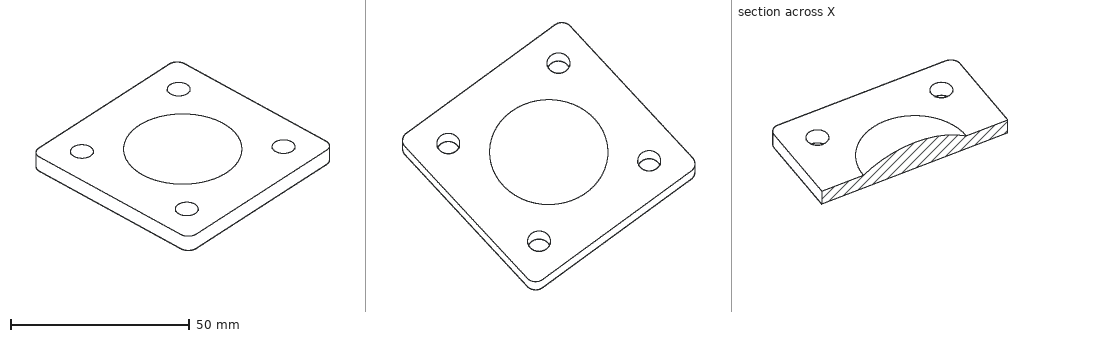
import cadquery as cq

side = 60.0
total_height = 10.0
plate_thickness = total_height / 2
corner_radius = 3.0
hole_diameter = 6.4
hole_spacing = side * 2 / 3
dome_radius = side / 2


def make_plate():
    """Square plate with its bottom at Z = 0 and rounded vertical corners."""
    plate = cq.Workplane("XY").box(side, side, plate_thickness, centered=(True, True, False))
    return plate.edges("|Z").fillet(corner_radius)


def make_dome():
    """Shallow spherical cap standing on the top face of the plate."""
    sphere_center_z = total_height - dome_radius
    sphere = cq.Workplane("XY").sphere(dome_radius).translate((0, 0, sphere_center_z))
    cap_space = (
        cq.Workplane("XY")
        .workplane(offset=plate_thickness)
        .rect(side, side)
        .extrude(total_height)
    )
    return sphere.intersect(cap_space)


def drill_corner_holes(body):
    """Four through holes on a square pattern."""
    drills = (
        cq.Workplane("XY")
        .rect(hole_spacing, hole_spacing, forConstruction=True)
        .vertices()
        .circle(hole_diameter / 2)
        .extrude(plate_thickness)
    )
    return body.cut(drills)


result = drill_corner_holes(make_plate().union(make_dome()))